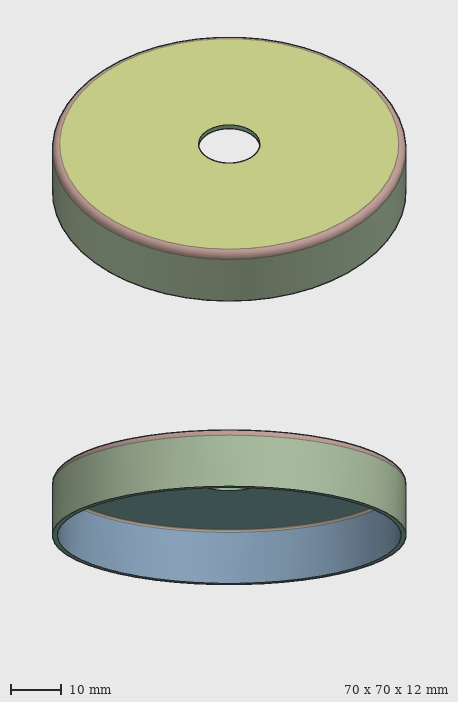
import cadquery as cq

outer_diameter = 70.0
height = 12.0
rim_fillet = 1.5

wall_thickness = 1.0
hole_diameter = 12.1

body = cq.Workplane("XY").circle(outer_diameter / 2).extrude(height)
body = body.faces(">Z").edges().fillet(rim_fillet)

cavity_diameter = outer_diameter - 2 * wall_thickness
cavity_depth = height - wall_thickness
cavity = cq.Workplane("XY").circle(cavity_diameter / 2).extrude(cavity_depth)
cavity = cavity.faces(">Z").edges().fillet(rim_fillet - wall_thickness)

hole = cq.Workplane("XY").circle(hole_diameter / 2).extrude(height)

result = body.cut(cavity).cut(hole)